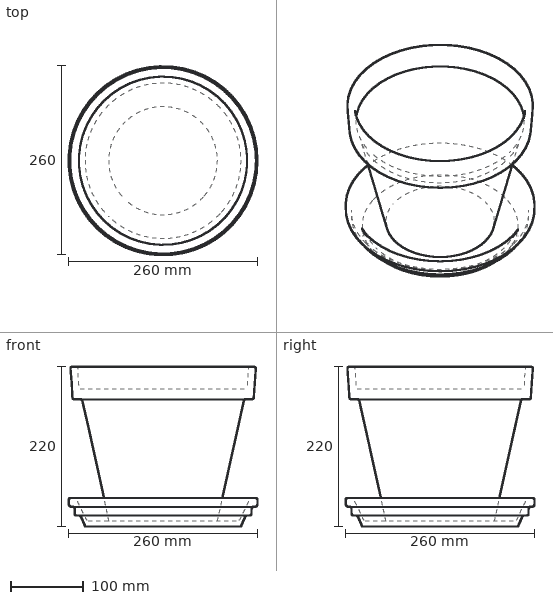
import cadquery as cq

total_height = 220.0
edge_round = 2.5

saucer_height = 39.5
saucer_rim_radius = 130.0
saucer_rim_bottom_z = 27.3
saucer_rim_under_round = 4.0
saucer_band_radius = 244.0 / 2
saucer_band_bottom_z = 15.3
saucer_foot_radius = 107.0
saucer_foot_top_radius = 114.0
saucer_mouth_radius = 120.0
saucer_floor_z = 7.5
saucer_floor_radius = 104.5
saucer_floor_round = 5.2

pot_base_radius = 74.5
pot_neck_radius = 111.8
pot_collar_bottom_z = 175.2
pot_collar_bottom_radius = 124.8
pot_collar_top_radius = 128.0
pot_mouth_radius = 117.5
pot_fill_radius = 115.7
pot_fill_depth = 30.5


def revolve_profile(points):
    """Turn a closed (radius, z) outline around the Z axis."""
    return cq.Workplane("XZ").polyline(points).close().revolve(360, (0, 0), (0, 1))


def round_rings(body, corners, rounding):
    """Round the circular edges that pass through the given (radius, z) corners."""
    tolerance = 0.003

    def is_corner(edge):
        return edge.geomType() == "CIRCLE" and any(
            abs(edge.radius() - radius) < tolerance and abs(edge.Center().z - z) < tolerance
            for radius, z in corners
        )

    return body.edges().filter(is_corner).fillet(rounding)


def make_saucer():
    """Stepped dish with a sloping foot, a band and a wider rim."""
    foot_top = (saucer_foot_top_radius, saucer_band_bottom_z)
    band_bottom = (saucer_band_radius, saucer_band_bottom_z)
    band_top = (saucer_band_radius, saucer_rim_bottom_z)
    rim_bottom = (saucer_rim_radius, saucer_rim_bottom_z)
    rim_top = (saucer_rim_radius, saucer_height)
    mouth = (saucer_mouth_radius, saucer_height)
    floor_edge = (saucer_floor_radius, saucer_floor_z)

    body = revolve_profile([
        (0, 0),
        (saucer_foot_radius, 0),
        foot_top,
        band_bottom,
        band_top,
        rim_bottom,
        rim_top,
        mouth,
        floor_edge,
        (0, saucer_floor_z),
    ])
    body = round_rings(body, [foot_top, band_bottom, band_top, rim_top, mouth], edge_round)
    body = round_rings(body, [rim_bottom], saucer_rim_under_round)
    return round_rings(body, [floor_edge], saucer_floor_round)


def make_pot():
    """Tapered pot with a thick collar, filled to a level below the rim."""
    fill_z = total_height - pot_fill_depth
    neck = (pot_neck_radius, pot_collar_bottom_z)
    collar_bottom = (pot_collar_bottom_radius, pot_collar_bottom_z)
    collar_top = (pot_collar_top_radius, total_height)
    mouth = (pot_mouth_radius, total_height)

    body = revolve_profile([
        (0, saucer_floor_z),
        (pot_base_radius, saucer_floor_z),
        neck,
        collar_bottom,
        collar_top,
        mouth,
        (pot_fill_radius, fill_z),
        (0, fill_z),
    ])
    return round_rings(body, [neck, collar_bottom, collar_top, mouth], edge_round)


saucer = make_saucer()
pot = make_pot()

result = cq.Compound.makeCompound([saucer.val(), pot.val()])